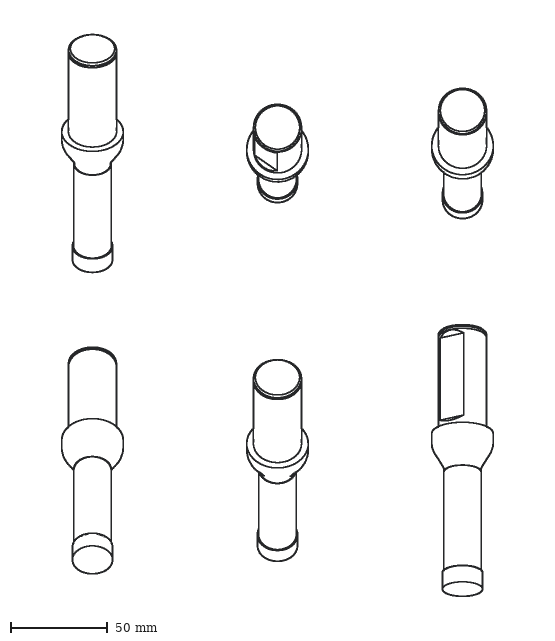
import cadquery as cq
import math


shank_radius = 25.0 / 2
shank_length = 56.0
end_chamfer = 1.0
groove_top = shank_length - 1.3
groove_width = 1.2
groove_depth = 0.5

flat_depth = 2.2
flat_bottom = 5.4
flat_top = 51.1

overall_length = 146.0
collar_radius = 32.0 / 2
collar_height = 5.7
taper_angle = math.radians(30)
collar_blend_radius = 8.2
neck_radius = 9.5
neck_blend_radius = 8.2

body_radius = 19.5 / 2
head_radius = 20.9 / 2
head_height = 9.2
point_slope = math.radians(18)

tip_z = shank_length - overall_length
head_bottom = tip_z + head_radius * math.tan(point_slope)
head_top = head_bottom + head_height


def blend_drop(radius, angle):
    """Axial distance covered by a blend arc turning by an angle from the axis direction."""
    return radius * math.sin(angle)


def blend_inset(radius, angle):
    """Radial distance covered by the same arc."""
    return radius * (1 - math.cos(angle))


def make_holder():
    """Shank, collar, taper, neck and drill body, revolved in one piece."""
    half_angle = taper_angle / 2

    taper_start_radius = collar_radius - blend_inset(collar_blend_radius, taper_angle)
    taper_start_z = -collar_height - blend_drop(collar_blend_radius, taper_angle)
    collar_blend_middle = (
        collar_radius - blend_inset(collar_blend_radius, half_angle),
        -collar_height - blend_drop(collar_blend_radius, half_angle),
    )

    taper_end_radius = neck_radius + blend_inset(neck_blend_radius, taper_angle)
    taper_length = (taper_start_radius - taper_end_radius) / math.tan(taper_angle)
    taper_end_z = taper_start_z - taper_length
    neck_z = taper_end_z - blend_drop(neck_blend_radius, taper_angle)
    neck_blend_middle = (
        neck_radius + blend_inset(neck_blend_radius, half_angle),
        neck_z + blend_drop(neck_blend_radius, half_angle),
    )

    profile = (
        cq.Workplane("XZ")
        .moveTo(0, shank_length)
        .lineTo(shank_radius - end_chamfer, shank_length)
        .lineTo(shank_radius, shank_length - end_chamfer)
        .lineTo(shank_radius, groove_top)
        .threePointArc(
            (shank_radius - groove_depth, groove_top - groove_width / 2),
            (shank_radius, groove_top - groove_width),
        )
        .lineTo(shank_radius, 0)
        .lineTo(collar_radius, 0)
        .lineTo(collar_radius, -collar_height)
        .threePointArc(collar_blend_middle, (taper_start_radius, taper_start_z))
        .lineTo(taper_end_radius, taper_end_z)
        .threePointArc(neck_blend_middle, (neck_radius, neck_z))
        .lineTo(body_radius, neck_z)
        .lineTo(body_radius, head_top)
        .lineTo(0, head_top)
        .close()
    )
    return profile.revolve(360, (0, 0, 0), (0, 1, 0)).cut(make_flat_cutter())


def make_flat_cutter():
    """Trapezoidal prism that removes the clamping flat."""
    flat_y = shank_radius - flat_depth
    return (
        cq.Workplane("YZ")
        .moveTo(flat_y, flat_bottom)
        .lineTo(flat_y, flat_top)
        .lineTo(shank_radius, flat_top + flat_depth)
        .lineTo(shank_radius, flat_bottom - flat_depth)
        .close()
        .extrude(shank_radius, both=True)
    )


def make_cutting_head():
    """Cylindrical head with a conical point, seated on the end of the drill body."""
    return (
        cq.Workplane("XZ")
        .moveTo(0, head_top)
        .lineTo(head_radius, head_top)
        .lineTo(head_radius, head_bottom)
        .lineTo(0, tip_z)
        .close()
        .revolve(360, (0, 0, 0), (0, 1, 0))
    )


holder = make_holder()
cutting_head = make_cutting_head()
result = cq.Compound.makeCompound([*holder.solids().vals(), cutting_head.val()])